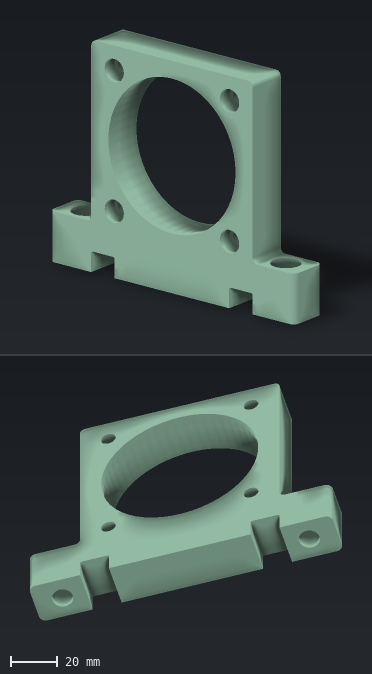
import cadquery as cq

base_length = 135.0
thickness = 19.0
total_height = 105.0
base_height = 23.0
plate_width = 89.0

plate_radius = 2.5
base_corner_radius = 3.0
slot_radius = 1.0

bore_diameter = 70.0
bore_height = 62.0
screw_spacing = 63.6
screw_diameter = 6.6
screw_head_diameter = 10.5
screw_head_depth = 6.5

mount_spacing = 110.0
mount_diameter = 9.0
mount_head_diameter = 13.6
mount_head_depth = 9.0

slot_width = 13.0
slot_height = 9.5
slot_center = (plate_width - slot_width) / 2


def block(length, height):
    """Block of full thickness, centred in X and Y and standing on Z = 0."""
    return cq.Workplane("XY").box(length, thickness, height, centered=(True, True, False))


base = block(base_length, base_height).edges("|Z").fillet(base_corner_radius)
plate = block(plate_width, total_height).edges("|Y and >Z").fillet(plate_radius)
body = base.union(plate)
for side in (-1, 1):
    inner_corner = cq.NearestToPointSelector((side * plate_width / 2, 0, base_height))
    body = body.edges("|Y").edges(inner_corner).fillet(plate_radius)

slot = block(slot_width, slot_height).edges("|Y and >Z").fillet(slot_radius)
for side in (-1, 1):
    body = body.cut(slot.translate((side * slot_center, 0, 0)))

front_face = cq.Workplane("XZ", origin=(0, -thickness / 2, bore_height))
bore = front_face.circle(bore_diameter / 2).extrude(-thickness)
screw_centers = front_face.rect(screw_spacing, screw_spacing, forConstruction=True).vertices()
screw_holes = screw_centers.circle(screw_diameter / 2).extrude(-thickness)
screw_heads = screw_centers.circle(screw_head_diameter / 2).extrude(-screw_head_depth)
body = body.cut(bore).cut(screw_holes).cut(screw_heads)

foot_top = cq.Workplane("XY", origin=(0, 0, base_height))
mount_centers = foot_top.pushPoints([(-mount_spacing / 2, 0), (mount_spacing / 2, 0)])
mount_holes = mount_centers.circle(mount_diameter / 2).extrude(-base_height)
mount_heads = mount_centers.circle(mount_head_diameter / 2).extrude(-mount_head_depth)
result = body.cut(mount_holes).cut(mount_heads)